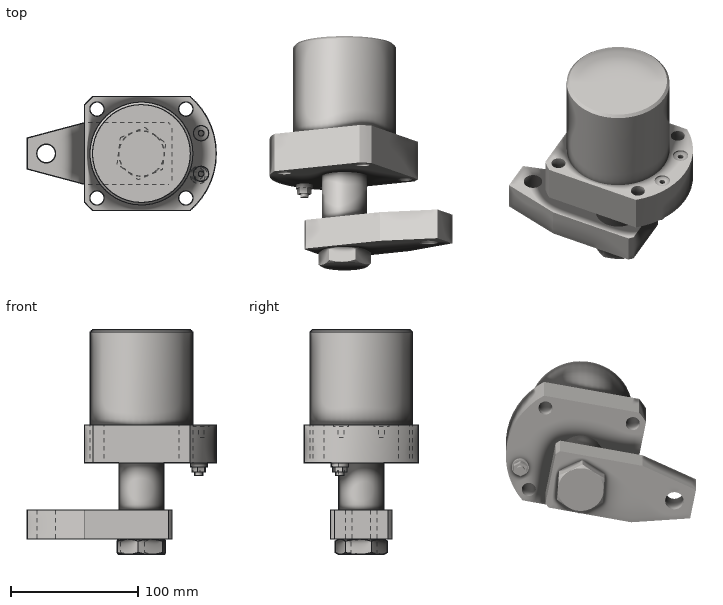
import cadquery as cq
import math


flange_width = 90.0
flange_radius = 59.0
flange_thickness = 30.0
cylinder_diameter = 81.0
cylinder_height = 75.0
cylinder_chamfer = 2.0

mount_hole_spacing = 70.0
mount_hole_diameter = 11.0
port_x = 47.0
port_spacing = 32.0
port_recess_diameter = 12.0
port_recess_depth = 1.3
port_hole_diameter = 4.5
port_hole_depth = 10.0

rod_diameter = 35.5
rod_length = 37.0

arm_thickness = 23.0
arm_width = 48.5
arm_tip_width = 24.5
arm_tip_x = -90.0
arm_taper_x = -flange_width / 2
arm_end_x = arm_width / 2
arm_chamfer = 3.0
arm_hole_x = -75.0
arm_hole_diameter = 14.5

nut_across_flats = 36.0
nut_height = 12.0
nut_chamfer_angle = 30.0
nut_turn = 23.0

fitting_x = 45.2
fitting_y = -16.9
collar_diameter = 13.5
collar_height = 3.0
fitting_across_flats = 10.0
fitting_hex_height = 4.3
fitting_turn = 20.0
stub_diameter = 6.5
stub_length = 2.6

arm_top = -rod_length
arm_bottom = arm_top - arm_thickness


def hexagon(across_flats, height, turn):
    """Hexagonal prism going down from Z = 0, with a corner at the angle `turn` from +X."""
    across_corners = across_flats / math.cos(math.radians(30))
    prism = cq.Workplane("XY").polygon(6, across_corners).extrude(-height)
    return prism.rotate((0, 0, 0), (0, 0, 1), turn)


def make_flange():
    """Square extended to the +X side, with its corners and +X side cut by one circle."""
    half_width = flange_width / 2
    length = half_width + flange_radius
    block = cq.Workplane("XY").box(length, flange_width, flange_thickness, centered=(False, True, False))
    disc = cq.Workplane("XY").circle(flange_radius).extrude(flange_thickness)
    return block.translate((-half_width, 0, 0)).intersect(disc)


def make_housing():
    cylinder = (
        cq.Workplane("XY")
        .circle(cylinder_diameter / 2)
        .extrude(flange_thickness + cylinder_height)
        .faces(">Z")
        .chamfer(cylinder_chamfer)
    )
    mount_holes = (
        cq.Workplane("XY")
        .rect(mount_hole_spacing, mount_hole_spacing, forConstruction=True)
        .vertices()
        .circle(mount_hole_diameter / 2)
        .extrude(flange_thickness)
    )
    port_points = [(port_x, side * port_spacing / 2) for side in (-1, 1)]
    flange_top = cq.Workplane("XY").workplane(offset=flange_thickness).pushPoints(port_points)
    recesses = flange_top.circle(port_recess_diameter / 2).extrude(-port_recess_depth)
    port_holes = flange_top.circle(port_hole_diameter / 2).extrude(-port_hole_depth)
    return make_flange().cut(mount_holes).cut(recesses).cut(port_holes).union(cylinder)


def make_rod():
    return cq.Workplane("XY").circle(rod_diameter / 2).extrude(-rod_length)


def make_arm():
    """Flat arm tapering toward a drilled tip, with two chamfered corners at the other end."""
    half_width = arm_width / 2
    half_tip = arm_tip_width / 2
    half_outline = [
        (arm_tip_x, half_tip),
        (arm_taper_x, half_width),
        (arm_end_x - arm_chamfer, half_width),
        (arm_end_x, half_width - arm_chamfer),
    ]
    mirrored_half = [(x, -y) for x, y in reversed(half_outline)]
    plate = (
        cq.Workplane("XY")
        .workplane(offset=arm_bottom)
        .polyline(half_outline + mirrored_half)
        .close()
        .extrude(arm_thickness)
    )
    hole = (
        cq.Workplane("XY")
        .workplane(offset=arm_bottom)
        .center(arm_hole_x, 0)
        .circle(arm_hole_diameter / 2)
        .extrude(arm_thickness)
    )
    return plate.cut(hole)


def make_nut():
    """Hexagon whose corners are bevelled by a cone at both ends."""
    corner_radius = nut_across_flats / 2 / math.cos(math.radians(30))
    face_radius = nut_across_flats / 2
    bevel_height = (corner_radius - face_radius) * math.tan(math.radians(nut_chamfer_angle))
    bevel_envelope = (
        cq.Workplane("XZ")
        .polyline([
            (0, 0),
            (face_radius, 0),
            (corner_radius, -bevel_height),
            (corner_radius, bevel_height - nut_height),
            (face_radius, -nut_height),
            (0, -nut_height),
        ])
        .close()
        .revolve(360, (0, 0, 0), (0, 1, 0))
    )
    prism = hexagon(nut_across_flats, nut_height, nut_turn)
    return prism.intersect(bevel_envelope).translate((0, 0, arm_bottom))


def make_fitting():
    hex_top = -collar_height
    stub_top = hex_top - fitting_hex_height
    collar = cq.Workplane("XY").circle(collar_diameter / 2).extrude(-collar_height)
    hex_part = hexagon(fitting_across_flats, fitting_hex_height, fitting_turn).translate((0, 0, hex_top))
    stub = cq.Workplane("XY").workplane(offset=stub_top).circle(stub_diameter / 2).extrude(-stub_length)
    return collar.union(hex_part).union(stub).translate((fitting_x, fitting_y, 0))


housing = make_housing()
rod = make_rod()
arm = make_arm()
nut = make_nut()
fitting = make_fitting()

result = cq.Compound.makeCompound([
    housing.solids().val(),
    rod.solids().val(),
    arm.solids().val(),
    nut.solids().val(),
    fitting.solids().val(),
])